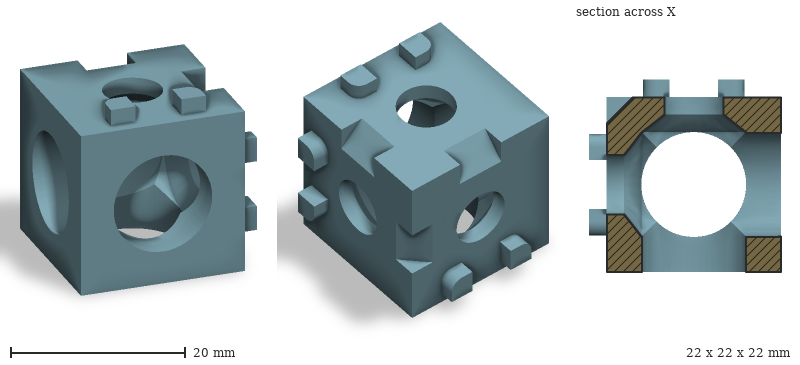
import cadquery as cq

cube_size = 20.0
half_cube = cube_size / 2

bore_radius = 6.0
outlet_radius = 3.5
outlet_length = 2.0
taper_length = half_cube - bore_radius - outlet_length

notch_leg = 3.0
notch_width = 6.0

peg_size = 3.0
peg_height = 2.0
peg_corner_radius = peg_size / 2
peg_edge_margin = 1.5
peg_pair_gap = 5.6

top_face = cq.Plane((0, 0, half_cube), xDir=(1, 0, 0), normal=(0, 0, 1))
back_face = cq.Plane((0, half_cube, 0), xDir=(1, 0, 0), normal=(0, 1, 0))
left_face = cq.Plane((-half_cube, 0, 0), xDir=(0, 0, -1), normal=(-1, 0, 0))
pegged_faces = [top_face, back_face, left_face]


def stepped_bore(face):
    """Wide bore from the opposite face, tapering to a narrow outlet in this face."""
    taper_start = -outlet_length - taper_length
    profile = [
        (0, 0),
        (outlet_radius, 0),
        (outlet_radius, -outlet_length),
        (bore_radius, taper_start),
        (bore_radius, -cube_size),
        (0, -cube_size),
    ]
    section = cq.Plane(face.origin, xDir=face.xDir, normal=face.xDir.cross(face.zDir))
    return cq.Workplane(section).polyline(profile).close().revolve(360, (0, 0), (0, 1))


def edge_notch(face, other_face):
    """Triangular prism at the middle of the edge between two faces."""
    corner = face.origin + other_face.origin
    section = cq.Plane(corner, xDir=face.zDir, normal=face.zDir.cross(other_face.zDir))
    profile = [(0, 0), (-notch_leg, 0), (0, -notch_leg)]
    prism = cq.Workplane(section).polyline(profile).close()
    return prism.extrude(notch_width / 2, both=True)


def peg(face, side):
    """Square peg rounded at its corner nearest the face centre and farthest from its twin."""
    far_x = half_cube - peg_edge_margin
    near_x = far_x - peg_size
    inner_y = side * peg_pair_gap / 2
    outer_y = side * (peg_pair_gap / 2 + peg_size)
    arc_start = (near_x + peg_corner_radius, outer_y)
    arc_end = (near_x, outer_y - side * peg_corner_radius)
    outline = (
        cq.Workplane(face)
        .moveTo(near_x, inner_y)
        .lineTo(far_x, inner_y)
        .lineTo(far_x, outer_y)
        .lineTo(*arc_start)
        .tangentArcPoint(arc_end, relative=False)
        .close()
    )
    return outline.extrude(peg_height)


result = cq.Workplane("XY").box(cube_size, cube_size, cube_size)

for face in pegged_faces:
    result = result.cut(stepped_bore(face))

for index, face in enumerate(pegged_faces):
    result = result.cut(edge_notch(face, pegged_faces[index - 1]))

for face in pegged_faces:
    for side in (-1, 1):
        result = result.union(peg(face, side))